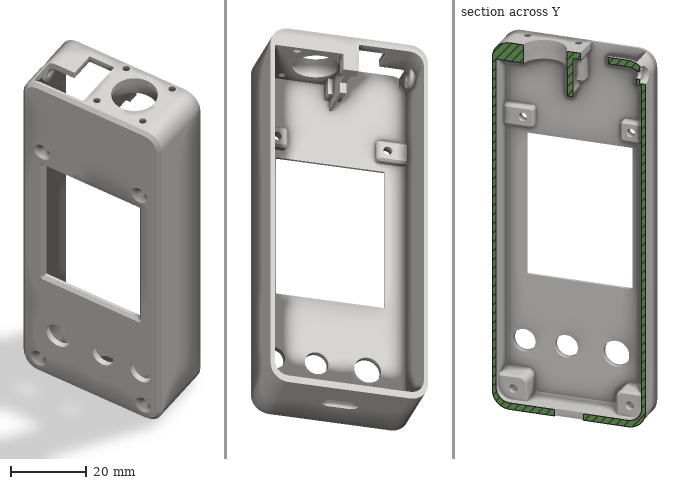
import cadquery as cq

WIDTH = 43.5
DEPTH = 19.95
HEIGHT = 106.0
CORNER_RADIUS = 5.0
FRONT_CHAMFER = 1.0
SIDE_WALL = 1.2
END_WALL = 2.0
FRONT_WALL = 1.65
FLOOR_CHAMFER = 0.6

FRONT = -DEPTH / 2
BACK = DEPTH / 2
FLOOR = FRONT + FRONT_WALL
TOP = HEIGHT / 2
INNER_SIDE = WIDTH / 2 - SIDE_WALL
INNER_TOP = TOP - END_WALL
INNER_RADIUS = CORNER_RADIUS - SIDE_WALL

WINDOW_WIDTH = 30.0
WINDOW_HEIGHT = 40.8
WINDOW_Z = 3.5
WINDOW_CHAMFER = 0.9
FLARE_TAPER = WINDOW_CHAMFER - 0.01

CONTROL_HOLES_Z = -36.2
CONTROL_HOLES = [(-10.35, 7.4), (3.75, 6.5), (15.7, 6.4)]

SCREW_DIAMETER = 2.4
SCREW_HEAD_DIAMETER = 5.0
UPPER_SCREW_X = 15.3
UPPER_SCREW_Z = 29.2
LOWER_SCREW_X = 16.5
LOWER_SCREW_Z = -47.8
UPPER_POST_REACH = 3.0
UPPER_POST_BACK = -6.1
UPPER_POST_RADIUS = 1.0
UPPER_POST_CHAMFER = 0.6
LOWER_POST_REACH = 3.9
LOWER_POST_BACK = -2.1
LOWER_POST_RADIUS = 2.0
LOWER_POST_CHAMFER = 0.6

SEAT_X = 6.7
SEAT_Y = 1.1
SEAT_BORE = 12.4
SEAT_HOLE_PITCH = 14.45
SEAT_HOLE_DIAMETER = 2.0
SEAT_DEPTH = 5.4
SEAT_BOTTOM = TOP - SEAT_DEPTH

SCREW_POST_LEFT = -2.7
SCREW_POST_RIGHT = 1.7
REAR_POST_FRONT = 6.75
FRONT_POST_BACK = 2 * SEAT_Y - REAR_POST_FRONT
REAR_WALL_LEFT = -1.3
FRONT_WALL_LEFT = -0.4
STEP_Y = -0.2
DEEP_WALL_BACK = 2.5
PARTITION_RIGHT = 0.4
PARTITION_BOTTOM = TOP - 10.0
DEEP_WALL_BOTTOM = TOP - 13.0

OPENING_LEFT = -19.05
OPENING_STEP_X = -11.2
OPENING_RIGHT = -3.4
OPENING_STEP_Y = -0.5
OPENING_BACK = 6.95

SLOT_LENGTH = 9.7
SLOT_WIDTH = 3.6
SLOT_Y = 1.5

SIDE_SCREW_Y = -0.6
SIDE_SCREW_Z = 49.0
SIDE_SCREW_DIAMETER = 2.4
SIDE_HEAD_DIAMETER = 4.7
SIDE_HEAD_FLOOR_X = -20.0
SIDE_BOSS_DIAMETER = 6.0
SIDE_BOSS_END_X = OPENING_LEFT


def box(x_min, x_max, y_min, y_max, z_min, z_max):
    size = (x_max - x_min, y_max - y_min, z_max - z_min)
    return cq.Workplane("XY").box(*size, centered=False).translate((x_min, y_min, z_min))


def centered_box(width, y_min, y_max, height):
    return box(-width / 2, width / 2, y_min, y_max, -height / 2, height / 2)


def cylinder(start, direction, diameter, length):
    solid = cq.Solid.makeCylinder(diameter / 2, length, cq.Vector(*start), cq.Vector(*direction))
    return cq.Workplane(solid)


def make_outline():
    return centered_box(WIDTH, FRONT, BACK, HEIGHT).edges("|Y").fillet(CORNER_RADIUS)


def make_shell():
    outer = make_outline().faces("<Y").edges().chamfer(FRONT_CHAMFER)
    cavity = centered_box(2 * INNER_SIDE, FLOOR, BACK, 2 * INNER_TOP).edges("|Y").fillet(INNER_RADIUS)
    cavity = cavity.faces("<Y").edges().chamfer(FLOOR_CHAMFER)
    return outer.cut(cavity)


def make_post(side, inner_x, z_min, z_max, back, radius, chamfer):
    """Post on the front wall, joined to a side wall and rounded on its two inner corners."""
    post = box(inner_x, INNER_SIDE + SIDE_WALL / 2, FLOOR, back, z_min, z_max)
    post = post.edges("|Y and <X").fillet(radius)
    post = post.faces(">Y").edges("not(>X)").chamfer(chamfer)
    return post if side > 0 else post.mirror("YZ")


def make_upper_post(side):
    return make_post(
        side,
        UPPER_SCREW_X - UPPER_POST_REACH,
        UPPER_SCREW_Z - UPPER_POST_REACH,
        UPPER_SCREW_Z + UPPER_POST_REACH,
        UPPER_POST_BACK,
        UPPER_POST_RADIUS,
        UPPER_POST_CHAMFER,
    )


def make_lower_post(side):
    post = make_post(
        side,
        LOWER_SCREW_X - LOWER_POST_REACH,
        -TOP,
        LOWER_SCREW_Z + LOWER_POST_REACH,
        LOWER_POST_BACK,
        LOWER_POST_RADIUS,
        LOWER_POST_CHAMFER,
    )
    rounded_limit = centered_box(WIDTH - SIDE_WALL, FLOOR, BACK, HEIGHT - END_WALL)
    rounded_limit = rounded_limit.edges("|Y").fillet(CORNER_RADIUS - SIDE_WALL / 2)
    return post.intersect(rounded_limit)


def make_connector_seat():
    right = INNER_SIDE + SIDE_WALL / 2
    seat = box(FRONT_WALL_LEFT, right, FLOOR, BACK, SEAT_BOTTOM, TOP)
    partition_parts = [
        box(SCREW_POST_LEFT, SCREW_POST_RIGHT, REAR_POST_FRONT, BACK, PARTITION_BOTTOM, TOP),
        box(REAR_WALL_LEFT, PARTITION_RIGHT, DEEP_WALL_BACK, REAR_POST_FRONT, PARTITION_BOTTOM, TOP),
        box(REAR_WALL_LEFT, PARTITION_RIGHT, STEP_Y, DEEP_WALL_BACK, DEEP_WALL_BOTTOM, TOP),
        box(FRONT_WALL_LEFT, PARTITION_RIGHT, FLOOR, STEP_Y, DEEP_WALL_BOTTOM, TOP),
        box(SCREW_POST_LEFT, SCREW_POST_RIGHT, FLOOR, FRONT_POST_BACK, PARTITION_BOTTOM, TOP),
    ]
    for part in partition_parts:
        seat = seat.union(part)
    return seat.intersect(make_outline())


def make_side_boss():
    start = (-WIDTH / 2, SIDE_SCREW_Y, SIDE_SCREW_Z)
    length = WIDTH / 2 + SIDE_BOSS_END_X
    return cylinder(start, (1, 0, 0), SIDE_BOSS_DIAMETER, length).intersect(make_outline())


def cut_connector_seat(body):
    body = body.cut(cylinder((SEAT_X, SEAT_Y, TOP), (0, 0, -1), SEAT_BORE, SEAT_DEPTH))
    for x_side in (-1, 1):
        for y_side in (-1, 1):
            x = SEAT_X + x_side * SEAT_HOLE_PITCH / 2
            y = SEAT_Y + y_side * SEAT_HOLE_PITCH / 2
            body = body.cut(cylinder((x, y, TOP), (0, 0, -1), SEAT_HOLE_DIAMETER, SEAT_DEPTH))
    return body


def cut_window(body):
    half_width = WINDOW_WIDTH / 2
    z_min = WINDOW_Z - WINDOW_HEIGHT / 2
    z_max = WINDOW_Z + WINDOW_HEIGHT / 2
    body = body.cut(box(-half_width, half_width, FRONT, FLOOR, z_min, z_max))
    flare = box(
        -half_width - WINDOW_CHAMFER,
        half_width + WINDOW_CHAMFER,
        FRONT,
        FRONT + WINDOW_CHAMFER,
        z_min - WINDOW_CHAMFER,
        z_max + WINDOW_CHAMFER,
    )
    flare = flare.edges("|Y").fillet(WINDOW_CHAMFER)
    return body.cut(flare.faces(">Y").edges().chamfer(FLARE_TAPER))


def cut_front_holes(body):
    for x, diameter in CONTROL_HOLES:
        body = body.cut(cylinder((x, FRONT, CONTROL_HOLES_Z), (0, 1, 0), diameter, FRONT_WALL))
    head_depth = (SCREW_HEAD_DIAMETER - SCREW_DIAMETER) / 2
    for screw_x, z in ((UPPER_SCREW_X, UPPER_SCREW_Z), (LOWER_SCREW_X, LOWER_SCREW_Z)):
        for x in (-screw_x, screw_x):
            start = cq.Vector(x, FRONT, z)
            inward = cq.Vector(0, 1, 0)
            head = cq.Solid.makeCone(SCREW_HEAD_DIAMETER / 2, SCREW_DIAMETER / 2, head_depth, start, inward)
            body = body.cut(cq.Workplane(head))
            body = body.cut(cylinder((x, FRONT, z), (0, 1, 0), SCREW_DIAMETER, DEPTH))
    return body


def cut_top_opening(body):
    narrow = box(OPENING_STEP_X, OPENING_RIGHT, FLOOR, OPENING_BACK, INNER_TOP, TOP)
    low = INNER_TOP - INNER_RADIUS
    wide = box(OPENING_LEFT, OPENING_RIGHT, FLOOR, OPENING_STEP_Y, low, TOP)
    return body.cut(narrow).cut(wide)


def cut_bottom_slot(body):
    slot = cq.Workplane("XY", origin=(0, SLOT_Y, -TOP)).slot2D(SLOT_LENGTH, SLOT_WIDTH).extrude(END_WALL)
    return body.cut(slot)


def cut_side_screw(body):
    start = (-WIDTH / 2, SIDE_SCREW_Y, SIDE_SCREW_Z)
    head_depth = WIDTH / 2 + SIDE_HEAD_FLOOR_X
    screw_depth = WIDTH / 2 + SIDE_BOSS_END_X
    body = body.cut(cylinder(start, (1, 0, 0), SIDE_HEAD_DIAMETER, head_depth))
    return body.cut(cylinder(start, (1, 0, 0), SIDE_SCREW_DIAMETER, screw_depth))


body = make_shell()
for side in (-1, 1):
    body = body.union(make_upper_post(side)).union(make_lower_post(side))
body = body.union(make_connector_seat()).union(make_side_boss())
body = cut_connector_seat(body)
body = cut_window(body)
body = cut_front_holes(body)
body = cut_top_opening(body)
body = cut_bottom_slot(body)
body = cut_side_screw(body)
result = body